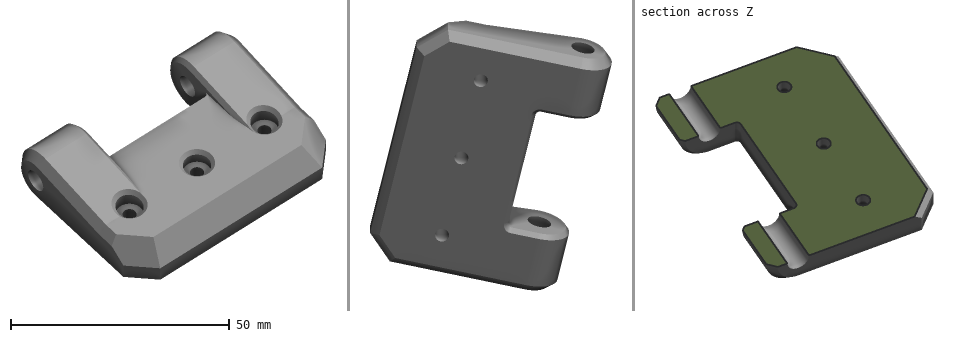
import cadquery as cq
import math

length = 45.0
width = 60.0
plate_height = 11.0

barrel_diameter = 14.5
barrel_radius = barrel_diameter / 2
pin_hole_diameter = 5.5
slope_end_x = 30.25
outer_chamfer = 2.0
inner_chamfer = 1.0

slot_width = 30.0
slot_depth = 14.75
slot_corner_radius = 1.0

end_top_chamfer = 5.0
end_bottom_chamfer = 2.0
corner_cut = 6.0

screw_x = 29.0
screw_spacing = 20.0
screw_clearance_diameter = 3.2
screw_head_diameter = 6.5
screw_head_depth = 3.4
screw_rim_chamfer = 0.9

arm_width = (width - slot_width) / 2
web_width = slot_width + 2 * inner_chamfer
screw_seat_z = plate_height - screw_head_depth


def arm_outline():
    """Side outline of an arm in XZ; the slope is tangent to the barrel."""
    run = slope_end_x - barrel_radius
    drop = plate_height - barrel_radius
    slope_angle = math.asin(barrel_radius / math.hypot(run, drop)) - math.atan2(drop, run)
    tangent_x = barrel_radius * (1 + math.sin(slope_angle))
    tangent_z = barrel_radius * (1 + math.cos(slope_angle))
    return (
        cq.Workplane("XZ")
        .moveTo(barrel_radius, 0)
        .threePointArc((0, barrel_radius), (tangent_x, tangent_z))
        .lineTo(slope_end_x, plate_height)
        .lineTo(length, plate_height)
        .lineTo(length, 0)
        .close()
    )


def arm_at_positive_y():
    """Arm with a wide chamfer around its outer face and a narrow one around its inner face."""
    arm = arm_outline().extrude(-arm_width).translate((0, slot_width / 2, 0))
    arm = arm.faces(">Y").chamfer(outer_chamfer)
    return arm.faces("<Y").edges().chamfer(inner_chamfer)


def slot_prism(margin, height, taper=0):
    """Round-cornered slot, grown on its three walls by margin, open toward -X."""
    depth = slot_depth + margin
    outline = (
        cq.Sketch()
        .rect(2 * depth, slot_width + 2 * margin)
        .vertices()
        .fillet(slot_corner_radius + margin)
    )
    return cq.Workplane("XY").placeSketch(outline).extrude(height, taper=taper)


def web():
    """Plate between the arms, with the slot's rounded corners and its flared bottom edge.

    It overlaps each arm by the inner chamfer, so the chamfer shows only where the arm is free.
    """
    start_x = slot_depth - slot_corner_radius
    plate = cq.Workplane("XY", origin=(start_x, 0, 0)).box(
        length - start_x, web_width, plate_height, centered=(False, True, False)
    )
    slot = slot_prism(margin=0, height=plate_height)
    flare = slot_prism(margin=inner_chamfer, height=inner_chamfer, taper=45)
    return plate.cut(slot).cut(flare)


def end_envelope(reach):
    """Large block whose +X face lies at reach, with its top and bottom edges beveled."""
    back_x = -length
    rise = barrel_diameter - plate_height
    return (
        cq.Workplane("XZ")
        .moveTo(back_x, 0)
        .lineTo(reach - end_bottom_chamfer, 0)
        .lineTo(reach, end_bottom_chamfer)
        .lineTo(reach, plate_height - end_top_chamfer)
        .lineTo(reach - end_top_chamfer - rise, barrel_diameter)
        .lineTo(back_x, barrel_diameter)
        .close()
        .extrude(width, both=True)
    )


def trim_far_end(body):
    """Bevel the far end and cut its two corners at 45 degrees with the same bevels."""
    body = body.intersect(end_envelope(length))
    corner_reach = (length + width / 2 - corner_cut) / math.sqrt(2)
    for angle in (-45, 45):
        envelope = end_envelope(corner_reach).rotate((0, 0, 0), (0, 0, 1), angle)
        body = body.intersect(envelope)
    return body


def drill_pin_hole(body):
    pin = (
        cq.Workplane("XZ")
        .center(barrel_radius, barrel_radius)
        .circle(pin_hole_diameter / 2)
        .extrude(width / 2, both=True)
    )
    return body.cut(pin)


def drilled_with_rim(blank):
    """Blank with one screw hole on y = 0 and a chamfer that follows the blank's top face."""
    hole_axis = cq.Workplane("XY").center(screw_x, 0)
    through = hole_axis.circle(screw_clearance_diameter / 2).extrude(barrel_diameter)
    head = (
        hole_axis.workplane(offset=screw_seat_z)
        .circle(screw_head_diameter / 2)
        .extrude(barrel_diameter)
    )
    rim_zone = cq.selectors.BoxSelector(
        (screw_x - screw_head_diameter, -screw_head_diameter, plate_height - screw_rim_chamfer),
        (screw_x + screw_head_diameter, screw_head_diameter, barrel_diameter),
        boundingbox=True,
    )
    drilled = blank.cut(through).cut(head)
    return drilled.edges(rim_zone).edges("not %LINE").chamfer(screw_rim_chamfer)


def screw_cutter(blank):
    """Everything that drilling one screw hole removes from the blank."""
    return blank.cut(drilled_with_rim(blank))


def drill_screw_holes(body):
    """Holes follow the sloped top in the arms and the flat plate top in the middle."""
    sloped_blank = arm_outline().extrude(arm_width, both=True)
    flat_blank = cq.Workplane("XY").box(
        2 * length, arm_width, plate_height, centered=(True, True, False)
    )
    arm_cutter = screw_cutter(sloped_blank)
    body = body.cut(screw_cutter(flat_blank))
    for y in (-screw_spacing, screw_spacing):
        body = body.cut(arm_cutter.translate((0, y, 0)))
    return body


arm = arm_at_positive_y()
body = web().union(arm).union(arm.mirror("XZ"))
body = trim_far_end(body)
body = drill_pin_hole(body)
body = drill_screw_holes(body)

result = body